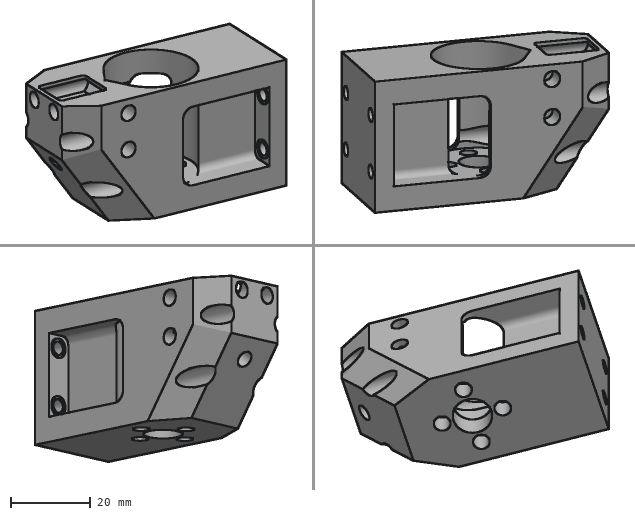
import cadquery as cq
import math


width = 27.0
length = 64.0
height = 34.75
nose_chamfer = 5.0
nose_chamfer_angle = 60.0
nose_height = 19.9
slope_tilt = 35.0

bore_diameter = 24.0
bore_radius = bore_diameter / 2
bore_y = 32.0
bore_floor = 6.5
bore_tip_half_angle = 60.0
shaft_hole_diameter = 10.0
pin_diameter = 4.2
floor_hole_radius = 8.0
floor_hole_count = 4

web_thickness = 12.9
pocket_front = 33.1
pocket_back = 59.0
pocket_top = height - bore_floor
pocket_corner_radius = 3.0
web_fillet = 2.0

screw_diameter = 3.5
screw_head_diameter = 5.0
screw_head_recess = 0.2
screw_x = 10.0
screw_levels = (9.9, 24.9)

recess_width = 11.0
recess_front = 1.5
recess_length = 14.0
recess_depth = 3.0
recess_bevel = 1.9
recess_corner_radius = 1.0

front_pin_x = 4.6
front_pin_z = 31.75
front_pin_depth = 18.55
side_pin_y = 16.8
side_pin_levels = (20.8, 30.85)
side_pin_depth = 6.0
slope_pin_z = 15.0
slope_pin_depth = 8.0

SIDES = (-1, 1)


def box(x0, x1, y0, y1, z0, z1):
    """Block between opposite corner coordinates."""
    return cq.Workplane("XY").box(x1 - x0, y1 - y0, z1 - z0, centered=False).translate((x0, y0, z0))


def cylinder(diameter, depth, start, direction):
    """Round cutter running from start along direction."""
    return cq.Workplane(cq.Solid.makeCylinder(diameter / 2, depth, cq.Vector(*start), cq.Vector(*direction)))


def make_body():
    """Block with a tapered nose, whose sloped underside follows the same taper."""
    run = math.tan(math.radians(slope_tilt))
    taper = nose_chamfer * math.tan(math.radians(nose_chamfer_angle))
    half = width / 2

    def make_section(z, front, taper_length):
        return cq.Workplane("XY").workplane(offset=z).polyline([
            (-half, length),
            (-half, front + taper_length),
            (-half + nose_chamfer, front),
            (half - nose_chamfer, front),
            (half, front + taper_length),
            (half, length),
        ]).close()

    def front_at(z):
        return (nose_height - z) * run

    nose = make_section(0, 0, taper).extrude(height)
    slope_taper = taper / math.cos(math.radians(slope_tilt))
    sections = [make_section(z, front_at(z), slope_taper).val() for z in (0, height)]
    sloped = cq.Workplane(cq.Solid.makeLoft(sections, True))
    return nose.intersect(sloped)


def make_bore():
    """Teardrop cutter pointing to the nose, with the floor holes below it."""
    angle = math.radians(bore_tip_half_angle)
    tangent_x = bore_radius * math.cos(angle)
    tangent_y = bore_y - bore_radius * math.sin(angle)
    tip_y = bore_y - bore_radius / math.sin(angle)
    cutter = (
        cq.Workplane("XY").workplane(offset=bore_floor)
        .moveTo(0, tip_y)
        .lineTo(tangent_x, tangent_y)
        .threePointArc((0, bore_y + bore_radius), (-tangent_x, tangent_y))
        .close()
        .extrude(height - bore_floor)
    )
    floor_holes = (
        cq.Workplane("XY").center(0, bore_y)
        .polarArray(floor_hole_radius, 0, 360, floor_hole_count)
        .circle(pin_diameter / 2)
        .extrude(bore_floor)
    )
    shaft_hole = cylinder(shaft_hole_diameter, bore_floor, (0, bore_y, 0), (0, 0, 1))
    return cutter.union(floor_holes).union(shaft_hole)


def make_side_pocket(side):
    """Pocket from one side to the web: round front corners and filleted long web edges."""
    inner = side * web_thickness / 2
    outer = side * width / 2
    pocket = box(min(inner, outer), max(inner, outer), pocket_front, pocket_back, bore_floor, pocket_top)
    pocket = pocket.edges("|X and <Y").fillet(pocket_corner_radius)
    web_face = "<X" if side > 0 else ">X"
    return pocket.faces(web_face).edges("|Y").fillet(web_fillet)


def make_screw_hole(x, z):
    """Through hole whose head clearance ends just inside the back wall of the pocket."""
    shank = cylinder(screw_diameter, length, (x, 0, z), (0, 1, 0))
    return shank.union(cylinder(screw_head_diameter, pocket_back + screw_head_recess, (x, 0, z), (0, 1, 0)))


def make_recess():
    """Top recess with rounded corners and bevelled end walls."""
    back = recess_front + recess_length
    half = recess_width / 2
    floor = height - recess_depth
    bevel_top = floor + recess_bevel
    blank = box(-half, half, recess_front, back, floor, height).edges("|Z").fillet(recess_corner_radius)
    profile = (
        cq.Workplane("YZ").workplane(offset=-half)
        .polyline([
            (recess_front, height),
            (recess_front, bevel_top),
            (recess_front + recess_bevel, floor),
            (back - recess_bevel, floor),
            (back, bevel_top),
            (back, height),
        ])
        .close()
        .extrude(recess_width)
    )
    sides = (
        cq.Workplane("XZ").workplane(offset=-back)
        .polyline([
            (-half, height),
            (-half, bevel_top),
            (-half + recess_bevel, floor),
            (half - recess_bevel, floor),
            (half, bevel_top),
            (half, height),
        ])
        .close()
        .extrude(recess_length)
    )
    return blank.intersect(profile).intersect(sides)


def make_slope_pin():
    """Blind hole square to the sloped underside of the nose."""
    tilt = math.radians(slope_tilt)
    start = (0, (nose_height - slope_pin_z) * math.tan(tilt), slope_pin_z)
    return cylinder(pin_diameter, slope_pin_depth, start, (0, math.cos(tilt), math.sin(tilt)))


result = make_body().cut(make_bore()).cut(make_recess()).cut(make_slope_pin())

for side in SIDES:
    result = result.cut(make_side_pocket(side))
    for z in screw_levels:
        result = result.cut(make_screw_hole(side * screw_x, z))
    front_start = (side * front_pin_x, 0, front_pin_z)
    result = result.cut(cylinder(pin_diameter, front_pin_depth, front_start, (0, 1, 0)))
    for z in side_pin_levels:
        side_start = (side * width / 2, side_pin_y, z)
        result = result.cut(cylinder(pin_diameter, side_pin_depth, side_start, (-side, 0, 0)))